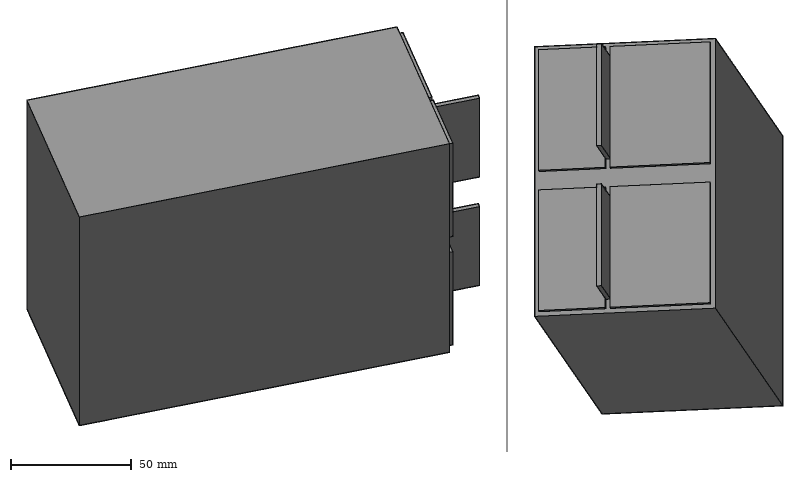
import cadquery as cq

HOUSING_WIDTH = 76.0
HOUSING_LENGTH = 160.0
HOUSING_HEIGHT = 115.5

TERMINAL_SPACING = 60.0
BLADE_THICKNESS = 2.0
BLADE_HEIGHT = 43.7
BLADE_PROJECTION = 20.0
PLATE_THICKNESS = 2.0
PLATE_HEIGHT = 51.7
WIDE_PLATE_WIDTH = 42.0
NARROW_PLATE_WIDTH = 28.0

TERMINAL_WIDTH = WIDE_PLATE_WIDTH + BLADE_THICKNESS + NARROW_PLATE_WIDTH
WIDE_PLATE_LEFT = -TERMINAL_WIDTH / 2
BLADE_LEFT = WIDE_PLATE_LEFT + WIDE_PLATE_WIDTH
NARROW_PLATE_LEFT = BLADE_LEFT + BLADE_THICKNESS


def make_housing():
    """Plain block with its +Y end face on the plane Y = 0."""
    block = cq.Workplane("XY").box(HOUSING_WIDTH, HOUSING_LENGTH, HOUSING_HEIGHT)
    return block.translate((0, -HOUSING_LENGTH / 2, 0))


def block_on_end_face(left, width, depth, height, center_z):
    """Block that stands on the end face and reaches out along +Y."""
    block = cq.Workplane("XY").box(width, depth, height, centered=(False, False, True))
    return block.translate((left, 0, center_z))


def make_plate(left, width, center_z):
    """Thin backing plate lying flat on the end face."""
    return block_on_end_face(left, width, PLATE_THICKNESS, PLATE_HEIGHT, center_z)


def make_blade(center_z):
    """Contact blade that passes between the plates to the end face."""
    blade_length = PLATE_THICKNESS + BLADE_PROJECTION
    return block_on_end_face(BLADE_LEFT, BLADE_THICKNESS, blade_length, BLADE_HEIGHT, center_z)


housing = make_housing()

wide_plates = []
narrow_plates = []
blades = []
for terminal_z in (-TERMINAL_SPACING / 2, TERMINAL_SPACING / 2):
    wide_plates.append(make_plate(WIDE_PLATE_LEFT, WIDE_PLATE_WIDTH, terminal_z).val())
    narrow_plates.append(make_plate(NARROW_PLATE_LEFT, NARROW_PLATE_WIDTH, terminal_z).val())
    blades.append(make_blade(terminal_z).val())

result = cq.Compound.makeCompound([housing.val(), *wide_plates, *narrow_plates, *blades])